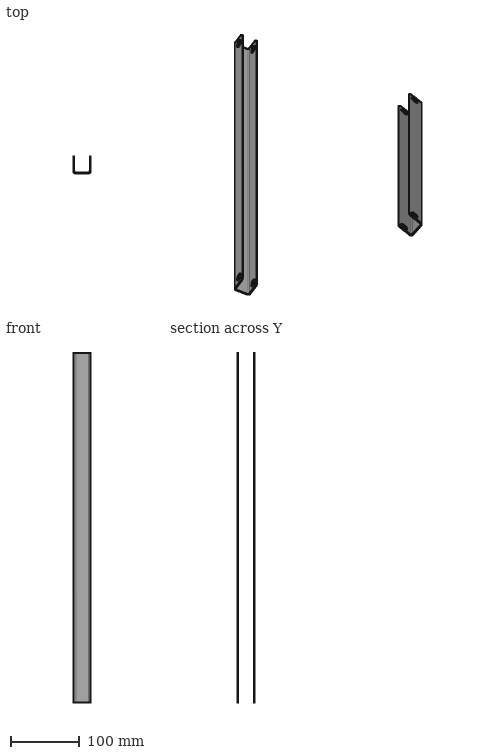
import cadquery as cq

width = 25.5
depth = 25.5
length = 507.5

thickness = 1.8
inner_bend_radius = 1.5
outer_bend_radius = inner_bend_radius + thickness

corner_radius = 5.0
hole_diameter = 11.0
hole_from_free_edge = 10.0
hole_from_end = 12.0

free_edge_y = depth / 2


def make_channel():
    """Bent U section with its web on -Y and its open side on +Y."""
    outer = (
        cq.Workplane("XY")
        .box(width, depth, length)
        .edges("|Z and <Y")
        .fillet(outer_bend_radius)
    )
    inner = (
        cq.Workplane("XY")
        .box(width - 2 * thickness, depth, length)
        .translate((0, thickness, 0))
        .edges("|Z and <Y")
        .fillet(inner_bend_radius)
    )
    return outer.cut(inner)


def round_flange_corners(channel):
    """Round the free corners at both ends of both flanges."""
    return channel.edges("|X and >Y").fillet(corner_radius)


def make_hole_cutters():
    """Cross holes through both flanges near each end."""
    hole_y = free_edge_y - hole_from_free_edge
    hole_z = length / 2 - hole_from_end
    return (
        cq.Workplane("YZ")
        .pushPoints([(hole_y, -hole_z), (hole_y, hole_z)])
        .circle(hole_diameter / 2)
        .extrude(width, both=True)
    )


result = round_flange_corners(make_channel()).cut(make_hole_cutters())